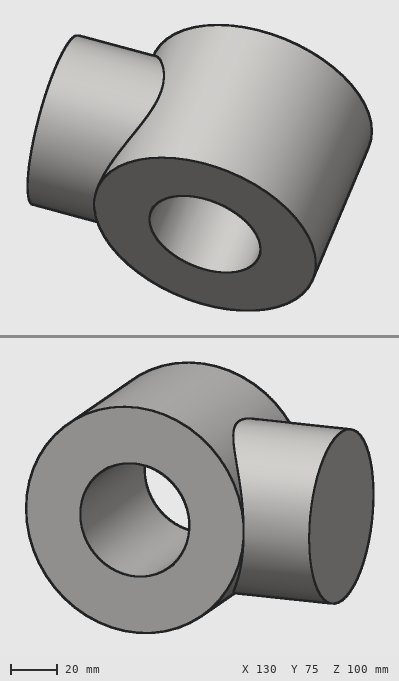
import cadquery as cq

overall_length = 130.0
ring_diameter = 100.0
bore_diameter = 50.0
ring_width = 75.0

tangency_gap = 0.03
stub_diameter = ring_width - tangency_gap

stub_reach = overall_length - ring_diameter / 2


def cylinder_along_y(diameter):
    """Cylinder as wide as the ring, centred on the origin."""
    return (
        cq.Workplane("XZ", origin=(0, ring_width / 2, 0))
        .circle(diameter / 2)
        .extrude(ring_width)
    )


def side_stub():
    """Solid round stub running from its -X end face to the ring axis."""
    return (
        cq.Workplane("YZ", origin=(-stub_reach, 0, 0))
        .circle(stub_diameter / 2)
        .extrude(stub_reach)
    )


ring_with_stub = cylinder_along_y(ring_diameter).union(side_stub())
result = ring_with_stub.cut(cylinder_along_y(bore_diameter))